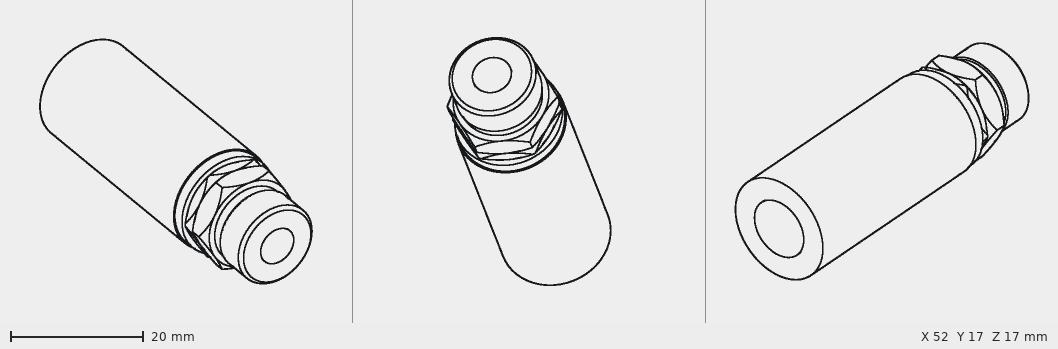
import cadquery as cq
import math

length = 52.0
sleeve_end = 36.55
collar_end = 38.5
lock_nut_end = 40.5
hex_end = 44.5
relief_end = 46.35

sleeve_diameter = 17.0
collar_diameter = 16.55
relief_diameter = 12.7
thread_diameter = 13.3
thread_lead_in = 0.55
thread_run_out = 0.15

hex_flat_width = 14.65
hex_flat_radius = hex_flat_width / 2
hex_corner_diameter = hex_flat_width / math.cos(math.pi / 6)

bore_diameter = 6.0
socket_diameter = 9.55
socket_depth = sleeve_end


def cylinder(start, end, diameter):
    """Cylinder on the X axis between two stations."""
    return cq.Workplane("YZ", origin=(start, 0, 0)).circle(diameter / 2).extrude(end - start)


def chamfered_hexagon(start, end):
    """Hexagon with corners on +Y and -Y, cut by 45 degree cones that just reach its flats."""
    prism = (
        cq.Workplane("YZ", origin=(start, 0, 0))
        .polygon(6, hex_corner_diameter)
        .extrude(end - start)
    )
    half_length = (end - start) / 2
    tip_radius = hex_flat_radius + half_length
    double_cone = (
        cq.Workplane("XY")
        .moveTo(start, 0)
        .lineTo(start, hex_flat_radius)
        .lineTo(start + half_length, tip_radius)
        .lineTo(end, hex_flat_radius)
        .lineTo(end, 0)
        .close()
        .revolve(360, (0, 0, 0), (1, 0, 0))
    )
    return prism.intersect(double_cone)


def threaded_end():
    """Plain thread cylinder with a steep run-out cone at the relief and a chamfered tip."""
    thread_radius = thread_diameter / 2
    return (
        cq.Workplane("XY")
        .moveTo(relief_end, 0)
        .lineTo(relief_end, relief_diameter / 2)
        .lineTo(relief_end + thread_run_out, thread_radius)
        .lineTo(length - thread_lead_in, thread_radius)
        .lineTo(length, thread_radius - thread_lead_in)
        .lineTo(length, 0)
        .close()
        .revolve(360, (0, 0, 0), (1, 0, 0))
    )


body = (
    cylinder(0, sleeve_end, sleeve_diameter)
    .union(cylinder(sleeve_end, collar_end, collar_diameter))
    .union(chamfered_hexagon(collar_end, lock_nut_end))
    .union(chamfered_hexagon(lock_nut_end, hex_end))
    .union(cylinder(hex_end, relief_end, relief_diameter))
    .union(threaded_end())
)

bore = cylinder(0, length, bore_diameter)
socket = cylinder(0, socket_depth, socket_diameter)
result = body.cut(bore).cut(socket)